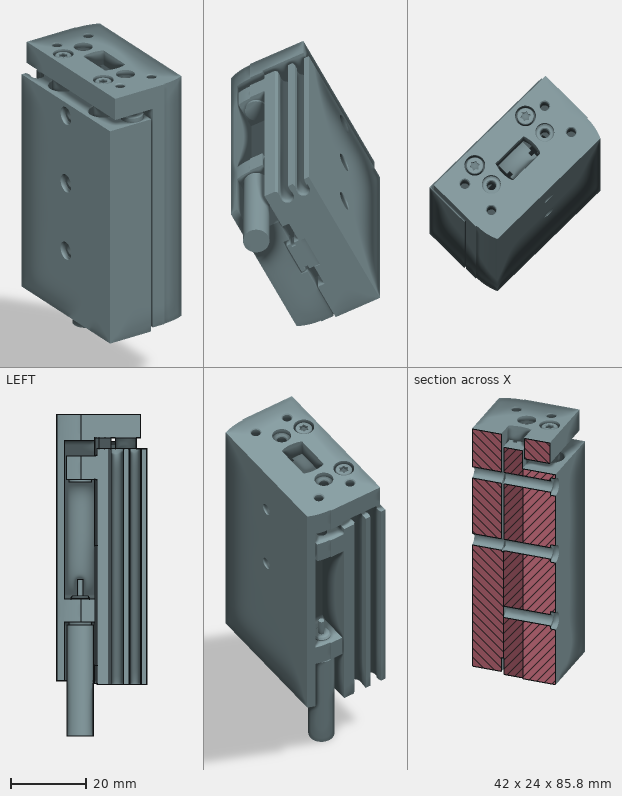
import cadquery as cq
import math


WIDTH = 42.0
HALF_WIDTH = WIDTH / 2
DEPTH = 24.0
TOTAL_HEIGHT = 85.8

HOUSING_BOTTOM = 13.7
HOUSING_TOP = 76.6
HOUSING_DEPTH = 13.2
CHANNEL_HALF_WIDTH = 10.5
CHANNEL_FLOOR_Y = 11.2
ROD_BORE_DIA = 8.0
ROD_BORE_MOUTH_DIA = 8.5
MOUNT_HOLE_DIA = 3.3
MOUNT_BORE_DIA = 5.1
MOUNT_BORE_DEPTH = 1.55
MOUNT_PITCH = 20.0
LOWEST_MOUNT_Z = 32.8
MOUNT_HOLE_Z = [LOWEST_MOUNT_Z + i * MOUNT_PITCH for i in range(3)]
SENSOR_SLOT_DEPTH = 4.7
SENSOR_SLOT_WIDTH = 3.5
SENSOR_SLOT_LIP = 1.9
REAR_SLOT_Y = 7.9
REAR_SLOT_MOUTH = 3.3
REAR_BEVEL_WIDTH = 0.6
REAR_BEVEL_DEPTH = 0.6
FRONT_SLOT_Y = 3.1
FRONT_SLOT_MOUTH = 2.9
FRONT_BEVEL_WIDTH = 0.3
FRONT_BEVEL_DEPTH = 0.9
PLUG_X = 17.5
PLUG_Y = 9.4
PLUG_DIA = 6.0
PLUG_HEIGHT = 1.3
PLUG_CAP_DIA = 3.0
PLUG_CAP_HEIGHT = 0.6

STOP_X = -16.9
STOP_Y = 17.8
TAB_BOTTOM = 68.5
TAB_TOP = 74.7
TAB_BACK_Y = 21.4
TAB_INNER_X = -12.9
TAB_ROOT_FILLET = 0.6
BUFFER_DIA = 6.0
BUFFER_LENGTH = 0.8
STOP_HOLE_DIA = 3.0
STOP_HOLE_DEPTH = 4.3

TAPER_START_Y = 17.5
TAPER_STEP = 0.3
TAPER_INSET = 1.4

SLIDER_FRONT_Y = 13.8
SLIDER_BOTTOM = 14.8
BACK_PLATE_Y = 21.9
HEAD_FRONT_Y = 1.6
HEAD_BOTTOM = 79.5
POCKET_WALL_X = -11.7
UPPER_POCKET_TOP = 78.8
UPPER_POCKET_BOTTOM = 36.55
LOWER_POCKET_TOP = 30.5
POCKET_FILLET = 1.2
WINDOW_FRONT_Y = 9.1
WINDOW_BACK_Y = 15.6
WINDOW_CORNER_X = 5.2
WINDOW_BULGE = 0.6
WINDOW_CORNER_FILLET = 0.5
RAIL_CHANNEL_HALF_WIDTH = 5.5
CARRIAGE_HALF_WIDTH = 10.2
CARRIAGE_FRONT_Y = 11.7
CARRIAGE_BOTTOM = 18.9
CARRIAGE_TOP = 50.8

THREAD_DIA = 2.5
THREAD_MOUTH_DIA = 3.0
CORNER_HOLE_X = 15.0
CORNER_HOLE_Y = (7.3, 17.3)
CORNER_HOLE_DEPTH = 5.15
SLEEVE_HOLE_X = 10.0
SLEEVE_HOLE_Y = 12.35
SLEEVE_DIA = 5.1
SLEEVE_DEPTH = 1.5

ROD_X = 9.5
ROD_Y = 5.6
ROD_DIA = 5.6
ROD_BOTTOM = 25.7
SCREW_SHANK_DIA = 2.5
SCREW_HEAD_DIA = 4.5
SCREW_HEAD_HEIGHT = 2.6
SCREW_HEAD_CHAMFER = 0.2
SCREW_POCKET_DIA = 5.6
SCREW_POCKET_DEPTH = 3.0
TORX_DIA = 2.8
TORX_VALLEY_DIA = 2.0
TORX_DEPTH = 0.9
TORX_LOBES = 6

RAIL_WIDTH = 9.0
RAIL_FRONT_Y = 9.5
RAIL_BACK_Y = 15.0
RAIL_BOTTOM = 14.0
RAIL_TOP = 82.0
RAIL_GROOVE_FRONT_Y = 12.7
RAIL_GROOVE_BACK_Y = 13.9
RAIL_GROOVE_DEPTH = 1.0

ABSORBER_DIA = 7.0
ABSORBER_SHOULDER = 29.6
ABSORBER_NECK_DIA = 6.0
ABSORBER_NOSE_DIA = 5.0
ABSORBER_NOSE_TOP = 37.3
ABSORBER_NOSE_CHAMFER = 0.4
ABSORBER_PIN_DIA = 1.5
ABSORBER_PIN_TOP = 41.8


def box(x0, x1, y0, y1, z0, z1):
    """Block between two opposite corners."""
    return cq.Workplane("XY").box(x1 - x0, y1 - y0, z1 - z0, centered=False).translate((x0, y0, z0))


def cylinder(x, y, dia, z0, z1):
    """Round bar parallel to Z."""
    return cq.Workplane("XY").center(x, y).circle(dia / 2).extrude(z1 - z0).translate((0, 0, z0))


def cross_bore(z, dia, y0, y1):
    """Round bar parallel to Y in the middle plane, used to cut the mounting holes."""
    return cq.Workplane("XZ", origin=(0, y0, z)).circle(dia / 2).extrude(y0 - y1)


def cone(x, y, lower_dia, upper_dia, z0, z1):
    """Conical frustum parallel to Z."""
    lower = cq.Workplane("XY", origin=(x, y, z0)).circle(lower_dia / 2)
    return lower.workplane(offset=z1 - z0).circle(upper_dia / 2).loft(combine=True)


def tapered_block(y0, z0, z1):
    """Full-width block whose sides curve inwards, from parallel to Y, towards the back face."""
    start_x = HALF_WIDTH - TAPER_STEP
    rise = DEPTH - TAPER_START_Y
    sweep = 2 * math.atan(TAPER_INSET / rise)
    radius = rise / math.sin(sweep)
    arc_middle_x = start_x - radius * (1 - math.cos(sweep / 2))
    arc_middle_y = TAPER_START_Y + radius * math.sin(sweep / 2)
    half = (
        cq.Workplane("XY", origin=(0, 0, z0))
        .moveTo(0, y0)
        .lineTo(HALF_WIDTH, y0)
        .lineTo(HALF_WIDTH, TAPER_START_Y)
        .lineTo(start_x, TAPER_START_Y)
        .threePointArc((arc_middle_x, arc_middle_y), (start_x - TAPER_INSET, DEPTH))
        .lineTo(0, DEPTH)
        .close()
        .extrude(z1 - z0)
    )
    return half.union(half.mirror("YZ"))


def sensor_slot(y, mouth_width):
    """Slot along the left side of the housing, with a round bottom behind a narrower mouth."""
    left = -HALF_WIDTH
    lip_x = left + SENSOR_SLOT_LIP
    half = SENSOR_SLOT_WIDTH / 2
    centre_x = left + SENSOR_SLOT_DEPTH - half
    cavity = (
        cq.Workplane("XY", origin=(0, 0, HOUSING_BOTTOM))
        .moveTo(lip_x, y - half)
        .lineTo(centre_x, y - half)
        .threePointArc((centre_x + half, y), (centre_x, y + half))
        .lineTo(lip_x, y + half)
        .close()
        .extrude(HOUSING_TOP - HOUSING_BOTTOM)
    )
    mouth_half = mouth_width / 2
    return cavity.union(box(left, lip_x, y - mouth_half, y + mouth_half, HOUSING_BOTTOM, HOUSING_TOP))


def mouth_bevel(edge_y, width, depth):
    """Wedge that bevels one edge of a slot mouth; a negative width bevels towards the front."""
    left = -HALF_WIDTH
    return (
        cq.Workplane("XY", origin=(0, 0, HOUSING_BOTTOM))
        .polyline([(left, edge_y), (left + depth, edge_y), (left, edge_y + width)])
        .close()
        .extrude(HOUSING_TOP - HOUSING_BOTTOM)
    )


def stop_tab():
    """Tab at the upper left of the housing that carries the end stop."""
    tab = tapered_block(HOUSING_DEPTH, TAB_BOTTOM, TAB_TOP)
    tab = tab.intersect(box(-HALF_WIDTH, TAB_INNER_X, HOUSING_DEPTH, TAB_BACK_Y, TAB_BOTTOM, TAB_TOP))
    root = box(
        -HALF_WIDTH, TAB_INNER_X, HOUSING_DEPTH, HOUSING_DEPTH + TAB_ROOT_FILLET,
        TAB_BOTTOM - TAB_ROOT_FILLET, TAB_TOP + TAB_ROOT_FILLET,
    )
    for z in (TAB_BOTTOM - TAB_ROOT_FILLET, TAB_TOP + TAB_ROOT_FILLET):
        corner = cq.Workplane("YZ", origin=(-HALF_WIDTH, HOUSING_DEPTH + TAB_ROOT_FILLET, z))
        root = root.cut(corner.circle(TAB_ROOT_FILLET).extrude(TAB_INNER_X + HALF_WIDTH))
    buffer = cylinder(STOP_X, STOP_Y, BUFFER_DIA, TAB_BOTTOM - BUFFER_LENGTH, TAB_BOTTOM)
    stop_hole = cylinder(STOP_X, STOP_Y, STOP_HOLE_DIA, TAB_TOP - STOP_HOLE_DEPTH, TAB_TOP)
    return tab.union(root).union(buffer).cut(stop_hole)


def rail_profile(z0, z1):
    """Length of guide rail with a ball groove along each side."""
    half = RAIL_WIDTH / 2
    rail = box(-half, half, RAIL_FRONT_Y, RAIL_BACK_Y, z0, z1)
    for x in (-half, half - RAIL_GROOVE_DEPTH):
        rail = rail.cut(box(
            x, x + RAIL_GROOVE_DEPTH, RAIL_GROOVE_FRONT_Y, RAIL_GROOVE_BACK_Y, z0, z1,
        ))
    return rail


def make_housing():
    body = box(-HALF_WIDTH, HALF_WIDTH, 0, HOUSING_DEPTH, HOUSING_BOTTOM, HOUSING_TOP)

    body = body.cut(box(
        -CHANNEL_HALF_WIDTH, CHANNEL_HALF_WIDTH, CHANNEL_FLOOR_Y, HOUSING_DEPTH, HOUSING_BOTTOM, HOUSING_TOP,
    ))
    body = body.cut(box(
        -RAIL_WIDTH / 2, RAIL_WIDTH / 2, RAIL_FRONT_Y, CHANNEL_FLOOR_Y, HOUSING_BOTTOM, HOUSING_TOP,
    ))

    body = body.cut(sensor_slot(REAR_SLOT_Y, REAR_SLOT_MOUTH))
    body = body.cut(mouth_bevel(REAR_SLOT_Y + REAR_SLOT_MOUTH / 2, REAR_BEVEL_WIDTH, REAR_BEVEL_DEPTH))
    body = body.cut(sensor_slot(FRONT_SLOT_Y, FRONT_SLOT_MOUTH))
    for side in (-1, 1):
        edge_y = FRONT_SLOT_Y + side * FRONT_SLOT_MOUTH / 2
        body = body.cut(mouth_bevel(edge_y, side * FRONT_BEVEL_WIDTH, FRONT_BEVEL_DEPTH))

    bore_mouth_z = HOUSING_TOP - (ROD_BORE_MOUTH_DIA - ROD_BORE_DIA) / 2
    for x in (-ROD_X, ROD_X):
        body = body.cut(cylinder(x, ROD_Y, ROD_BORE_DIA, ROD_BOTTOM, HOUSING_TOP))
        body = body.cut(cone(x, ROD_Y, ROD_BORE_DIA, ROD_BORE_MOUTH_DIA, bore_mouth_z, HOUSING_TOP))

    for z in MOUNT_HOLE_Z:
        body = body.cut(cross_bore(z, MOUNT_HOLE_DIA, 0, HOUSING_DEPTH))
        body = body.cut(cross_bore(z, MOUNT_BORE_DIA, 0, MOUNT_BORE_DEPTH))

    plug_top = HOUSING_TOP + PLUG_HEIGHT
    body = body.union(cylinder(PLUG_X, PLUG_Y, PLUG_DIA, HOUSING_TOP, plug_top))
    body = body.union(cylinder(PLUG_X, PLUG_Y, PLUG_CAP_DIA, plug_top, plug_top + PLUG_CAP_HEIGHT))
    return body.union(stop_tab())


def side_pocket(z0, z1, filleted_edges):
    """Pocket in the left side of the slider, rounded where it meets the inner wall."""
    pocket = box(-HALF_WIDTH, POCKET_WALL_X, SLIDER_FRONT_Y, BACK_PLATE_Y, z0, z1)
    return pocket.edges(filleted_edges).fillet(POCKET_FILLET)


def head_window():
    """Window through the head with bulging ends."""
    middle_y = (WINDOW_FRONT_Y + WINDOW_BACK_Y) / 2
    bulge_x = WINDOW_CORNER_X + WINDOW_BULGE
    return (
        cq.Workplane("XY", origin=(0, 0, HEAD_BOTTOM))
        .moveTo(-WINDOW_CORNER_X, WINDOW_FRONT_Y)
        .lineTo(WINDOW_CORNER_X, WINDOW_FRONT_Y)
        .threePointArc((bulge_x, middle_y), (WINDOW_CORNER_X, WINDOW_BACK_Y))
        .lineTo(-WINDOW_CORNER_X, WINDOW_BACK_Y)
        .threePointArc((-bulge_x, middle_y), (-WINDOW_CORNER_X, WINDOW_FRONT_Y))
        .close()
        .extrude(TOTAL_HEIGHT - HEAD_BOTTOM)
        .edges(">Y and |Z")
        .fillet(WINDOW_CORNER_FILLET)
    )


def threaded_hole(x, y, mouth_z, bottom_z):
    """Hole with a 45 degree countersunk mouth."""
    mouth_depth = (THREAD_MOUTH_DIA - THREAD_DIA) / 2
    mouth = cone(x, y, THREAD_DIA, THREAD_MOUTH_DIA, mouth_z - mouth_depth, mouth_z)
    return cylinder(x, y, THREAD_DIA, bottom_z, mouth_z).union(mouth)


def make_slider():
    body = tapered_block(SLIDER_FRONT_Y, SLIDER_BOTTOM, TOTAL_HEIGHT)
    body = body.union(box(-HALF_WIDTH, HALF_WIDTH, HEAD_FRONT_Y, SLIDER_FRONT_Y, HEAD_BOTTOM, TOTAL_HEIGHT))

    body = body.cut(side_pocket(UPPER_POCKET_BOTTOM, UPPER_POCKET_TOP, ">X and |Y"))
    body = body.cut(side_pocket(SLIDER_BOTTOM, LOWER_POCKET_TOP, ">X and >Z and |Y"))
    body = body.cut(cylinder(STOP_X, STOP_Y, ABSORBER_NOSE_DIA, LOWER_POCKET_TOP, UPPER_POCKET_BOTTOM))

    body = body.union(box(
        -CARRIAGE_HALF_WIDTH, CARRIAGE_HALF_WIDTH, CARRIAGE_FRONT_Y, SLIDER_FRONT_Y,
        CARRIAGE_BOTTOM, CARRIAGE_TOP,
    ))
    body = body.cut(rail_profile(CARRIAGE_BOTTOM, CARRIAGE_TOP))
    for z0, z1 in ((SLIDER_BOTTOM, CARRIAGE_BOTTOM), (CARRIAGE_TOP, HEAD_BOTTOM)):
        body = body.cut(box(
            -RAIL_CHANNEL_HALF_WIDTH, RAIL_CHANNEL_HALF_WIDTH, SLIDER_FRONT_Y, WINDOW_BACK_Y, z0, z1,
        ))
    body = body.cut(head_window())

    for x in (-CORNER_HOLE_X, CORNER_HOLE_X):
        for y in CORNER_HOLE_Y:
            body = body.cut(threaded_hole(x, y, TOTAL_HEIGHT, TOTAL_HEIGHT - CORNER_HOLE_DEPTH))
    sleeve_floor = TOTAL_HEIGHT - SLEEVE_DEPTH
    for x in (-SLEEVE_HOLE_X, SLEEVE_HOLE_X):
        body = body.cut(cylinder(x, SLEEVE_HOLE_Y, SLEEVE_DIA, sleeve_floor, TOTAL_HEIGHT))
        body = body.cut(threaded_hole(x, SLEEVE_HOLE_Y, sleeve_floor, HEAD_BOTTOM))
    for x in (-ROD_X, ROD_X):
        body = body.cut(cylinder(x, ROD_Y, SCREW_SHANK_DIA, HEAD_BOTTOM, TOTAL_HEIGHT))
        body = body.cut(cylinder(
            x, ROD_Y, SCREW_POCKET_DIA, TOTAL_HEIGHT - SCREW_POCKET_DEPTH, TOTAL_HEIGHT,
        ))

    for z in MOUNT_HOLE_Z[1:]:
        body = body.cut(cross_bore(z, MOUNT_HOLE_DIA, SLIDER_FRONT_Y, DEPTH))
    return body


def torx_recess(x, y, z_top):
    """Six-lobed drive recess."""
    outline = []
    for i in range(2 * TORX_LOBES):
        angle = math.pi / 2 + i * math.pi / TORX_LOBES
        radius = (TORX_DIA if i % 2 == 0 else TORX_VALLEY_DIA) / 2
        outline.append((x + radius * math.cos(angle), y + radius * math.sin(angle)))
    return cq.Workplane("XY", origin=(0, 0, z_top)).polyline(outline).close().extrude(-TORX_DEPTH)


def make_piston_rod(x):
    """Piston rod whose screw end clamps the slider head."""
    head_seat = TOTAL_HEIGHT - SCREW_POCKET_DEPTH
    head_top = head_seat + SCREW_HEAD_HEIGHT
    head = cylinder(x, ROD_Y, SCREW_HEAD_DIA, head_seat, head_top)
    head = head.faces(">Z").chamfer(SCREW_HEAD_CHAMFER)
    rod = cylinder(x, ROD_Y, ROD_DIA, ROD_BOTTOM, HEAD_BOTTOM)
    shank = cylinder(x, ROD_Y, SCREW_SHANK_DIA, HEAD_BOTTOM, head_seat)
    return rod.union(shank).union(head).cut(torx_recess(x, ROD_Y, head_top))


def make_rail():
    rail = rail_profile(RAIL_BOTTOM, RAIL_TOP)
    for z in MOUNT_HOLE_Z:
        rail = rail.cut(cross_bore(z, MOUNT_HOLE_DIA, RAIL_FRONT_Y, RAIL_BACK_Y))
    return rail


def make_shock_absorber():
    """Barrel below the slider tab, nose through the tab and sprung pin above it."""
    absorber = cylinder(STOP_X, STOP_Y, ABSORBER_DIA, 0, ABSORBER_SHOULDER)
    neck = cylinder(STOP_X, STOP_Y, ABSORBER_NECK_DIA, ABSORBER_SHOULDER, LOWER_POCKET_TOP)
    nose = cylinder(STOP_X, STOP_Y, ABSORBER_NOSE_DIA, LOWER_POCKET_TOP, ABSORBER_NOSE_TOP)
    nose = nose.faces(">Z").chamfer(ABSORBER_NOSE_CHAMFER)
    pin = cylinder(STOP_X, STOP_Y, ABSORBER_PIN_DIA, ABSORBER_NOSE_TOP, ABSORBER_PIN_TOP)
    return absorber.union(neck).union(nose).union(pin)


housing = make_housing()
slider = make_slider()
rail = make_rail()
shock_absorber = make_shock_absorber()
piston_rods = [make_piston_rod(x) for x in (-ROD_X, ROD_X)]

result = cq.Compound.makeCompound([
    housing.val(),
    slider.val(),
    rail.val(),
    shock_absorber.val(),
    *[rod.val() for rod in piston_rods],
])